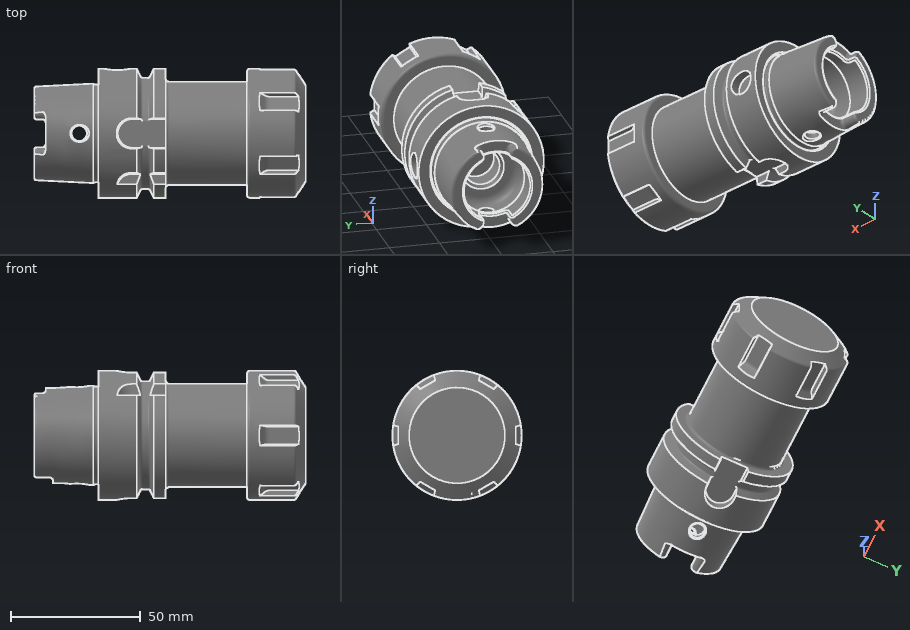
import cadquery as cq
import math


SHANK_LENGTH = 24.8
SHANK_ROOT_RADIUS = 19.25
SHANK_TAPER_END = 2.0
TAPER_RADIUS_SLOPE = 0.05
SHANK_TIP_RADIUS = SHANK_ROOT_RADIUS - TAPER_RADIUS_SLOPE * (SHANK_LENGTH - SHANK_TAPER_END)
SHANK_TIP_ROUND = 1.0
UNDERCUT_RADIUS = 18.9
UNDERCUT_RAMP = 0.7
UNDERCUT_RAMP_FILLET = 0.7
FACE_RELIEF_RADIUS = 19.87
FACE_RELIEF_DEPTH = 0.6
FACE_RELIEF_FILLET = 0.9

FLANGE_RADIUS = 25.0
FLANGE_LENGTH = 26.0
GROOVE_FLOOR_RADIUS = 21.5
GROOVE_START = 14.8
GROOVE_END = 21.4
GROOVE_FLANK_RUN = 1.75
GROOVE_FILLET = 0.9
NECK_RADIUS = 20.0
NECK_END = 57.3
NECK_FILLET = 1.2

MOUTH_RADIUS = 13.2
MOUTH_CHAMFER = 0.7
MOUTH_LENGTH = 9.6
CHAMBER_RADIUS = 15.7
CHAMBER_FLOOR_X = -2.0
CHAMBER_FILLET = 3.9
CENTRE_HOLE_RADIUS = 7.1
CENTRE_HOLE_DEPTH = 10.0
COUNTERSINK_RADIUS = 8.5

NOTCH_HALF_WIDTH = 5.34
NOTCH_STRAIGHT_HEIGHT = 13.7
NOTCH_FLARE_RADIUS = 2.6
NOTCH_FLOOR_FILLET = 1.2
NOTCH_TIP_ROUND = 1.0
UPPER_NOTCH_DEPTH = 4.4
LOWER_NOTCH_DEPTH = 7.2

CROSS_HOLE_X = -7.4
CROSS_HOLE_RADIUS = 2.95
CROSS_HOLE_RIM_RADIUS = 3.65

KEYWAY_FLOOR_HEIGHT = 20.95
KEYWAY_HALF_WIDTH = 5.5
KEYWAY_START = 7.5
SLOT_DRAFT = 7.0
CORNER_SLOT_FLOOR_HEIGHT = 15.5
CORNER_SLOT_WALL_OFFSET = 15.75
CORNER_SLOT_START = 7.0
CORNER_SLOT_END_RADIUS = 5.6
CHIP_HOLE_X = 7.3
CHIP_HOLE_RADIUS = 5.0
CHIP_HOLE_DEPTH = 4.6

NUT_RADIUS = 25.0
NUT_LENGTH = 22.8
NUT_BACK_ROUND = 1.25
NUT_CONE_LENGTH = 4.1
NUT_FRONT_RADIUS = 18.5
NUT_SHOULDER_ROUND = 1.1
NUT_SLOT_COUNT = 6
NUT_FIRST_SLOT_ANGLE = 90.0
NUT_SLOT_START = 4.75
NUT_SLOT_FLOOR = 22.6
NUT_SLOT_RAMP_ANGLE = 40.0
NUT_SLOT_RAMP_FILLET = 2.9
NUT_SLOT_FLOOR_HALF_WIDTH = 3.35
NUT_SLOT_RIM_HALF_WIDTH = 3.95

CLEARANCE = 5.0


def revolve(profile):
    """Turn a closed (x, radius) profile about the X axis."""
    return profile.close().revolve(360, (0, 0, 0), (1, 0, 0))


def ring_edges(solid, x, radius):
    """Select the circular edges at one station along the axis with the given radius."""
    tolerance = 0.01
    picked = []
    for edge in solid.edges("%CIRCLE").vals():
        same_radius = abs(edge.radius() - radius) < tolerance
        same_station = abs(edge.Center().x - x) < tolerance
        if same_radius and same_station:
            picked.append(edge)
    return solid.newObject(picked)


def turned_blank():
    """Outer shape of the holder: shank, flange with gripper groove, and neck."""
    undercut_start = -SHANK_TAPER_END + UNDERCUT_RAMP
    relief_chamfer = FACE_RELIEF_DEPTH
    groove_floor_start = GROOVE_START + GROOVE_FLANK_RUN
    groove_floor_end = GROOVE_END - GROOVE_FLANK_RUN
    blank = revolve(
        cq.Workplane("XY")
        .moveTo(-SHANK_LENGTH, 0)
        .lineTo(-SHANK_LENGTH, SHANK_TIP_RADIUS)
        .lineTo(-SHANK_TAPER_END, SHANK_ROOT_RADIUS)
        .lineTo(undercut_start, UNDERCUT_RADIUS)
        .lineTo(FACE_RELIEF_DEPTH, UNDERCUT_RADIUS)
        .lineTo(FACE_RELIEF_DEPTH, FACE_RELIEF_RADIUS)
        .lineTo(0, FACE_RELIEF_RADIUS + relief_chamfer)
        .lineTo(0, FLANGE_RADIUS)
        .lineTo(GROOVE_START, FLANGE_RADIUS)
        .lineTo(groove_floor_start, GROOVE_FLOOR_RADIUS)
        .lineTo(groove_floor_end, GROOVE_FLOOR_RADIUS)
        .lineTo(GROOVE_END, FLANGE_RADIUS)
        .lineTo(FLANGE_LENGTH, FLANGE_RADIUS)
        .lineTo(FLANGE_LENGTH, NECK_RADIUS)
        .lineTo(NECK_END, NECK_RADIUS)
        .lineTo(NECK_END, 0)
    )
    for groove_corner in (groove_floor_start, groove_floor_end):
        blank = ring_edges(blank, groove_corner, GROOVE_FLOOR_RADIUS).fillet(GROOVE_FILLET)
    blank = ring_edges(blank, undercut_start, UNDERCUT_RADIUS).fillet(UNDERCUT_RAMP_FILLET)
    blank = ring_edges(blank, FACE_RELIEF_DEPTH, UNDERCUT_RADIUS).fillet(FACE_RELIEF_FILLET)
    blank = ring_edges(blank, FLANGE_LENGTH, NECK_RADIUS).fillet(NECK_FILLET)
    return ring_edges(blank, -SHANK_LENGTH, SHANK_TIP_RADIUS).fillet(SHANK_TIP_ROUND)


def bore_tool():
    """Mouth, wider chamber with a rounded floor, and a countersunk centre hole."""
    mouth_end = -SHANK_LENGTH + MOUTH_LENGTH
    countersink_depth = COUNTERSINK_RADIUS - CENTRE_HOLE_RADIUS
    tool = revolve(
        cq.Workplane("XY")
        .moveTo(-SHANK_LENGTH, 0)
        .lineTo(-SHANK_LENGTH, MOUTH_RADIUS)
        .lineTo(mouth_end, MOUTH_RADIUS)
        .lineTo(mouth_end, CHAMBER_RADIUS)
        .lineTo(CHAMBER_FLOOR_X, CHAMBER_RADIUS)
        .lineTo(CHAMBER_FLOOR_X, COUNTERSINK_RADIUS)
        .lineTo(CHAMBER_FLOOR_X + countersink_depth, CENTRE_HOLE_RADIUS)
        .lineTo(CHAMBER_FLOOR_X + CENTRE_HOLE_DEPTH, CENTRE_HOLE_RADIUS)
        .lineTo(CHAMBER_FLOOR_X + CENTRE_HOLE_DEPTH, 0)
    )
    return ring_edges(tool, CHAMBER_FLOOR_X, CHAMBER_RADIUS).fillet(CHAMBER_FILLET)


def notch_tool(depth):
    """Upper notch cutter: its walls curl outward near the shank surface.

    The deep end is rounded, and a slab in front of the shank carries the rounding of the wall tips.
    """
    flare_height = NOTCH_STRAIGHT_HEIGHT + NOTCH_FLARE_RADIUS
    flare_half_width = NOTCH_HALF_WIDTH + NOTCH_FLARE_RADIUS
    outer_half_width = flare_half_width + CLEARANCE
    top = SHANK_ROOT_RADIUS + CLEARANCE
    arc_y = flare_half_width - NOTCH_FLARE_RADIUS * math.cos(math.pi / 4)
    arc_z = NOTCH_STRAIGHT_HEIGHT + NOTCH_FLARE_RADIUS * math.sin(math.pi / 4)
    profile = (
        cq.Workplane("YZ", origin=(-SHANK_LENGTH - CLEARANCE, 0, 0))
        .moveTo(-NOTCH_HALF_WIDTH, 0)
        .lineTo(NOTCH_HALF_WIDTH, 0)
        .lineTo(NOTCH_HALF_WIDTH, NOTCH_STRAIGHT_HEIGHT)
        .threePointArc((arc_y, arc_z), (flare_half_width, flare_height))
        .lineTo(outer_half_width, flare_height)
        .lineTo(outer_half_width, top)
        .lineTo(-outer_half_width, top)
        .lineTo(-outer_half_width, flare_height)
        .lineTo(-flare_half_width, flare_height)
        .threePointArc((-arc_y, arc_z), (-NOTCH_HALF_WIDTH, NOTCH_STRAIGHT_HEIGHT))
        .close()
    )
    prism = profile.extrude(CLEARANCE + depth).faces(">X").edges().fillet(NOTCH_FLOOR_FILLET)
    slab = cq.Workplane("XY").box(CLEARANCE, 2 * outer_half_width, top, centered=(False, True, False))
    tool = prism.union(slab.translate((-SHANK_LENGTH - CLEARANCE, 0, 0)))
    wall_tips = cq.selectors.BoxSelector(
        (-SHANK_LENGTH - NOTCH_TIP_ROUND, -outer_half_width, 0),
        (-SHANK_LENGTH + NOTCH_TIP_ROUND, outer_half_width, top),
    )
    return tool.edges("#X").edges(wall_tips).fillet(NOTCH_TIP_ROUND)


def half_turn(tool):
    """Turn a tool to the opposite side of the axis."""
    return tool.rotate((0, 0, 0), (1, 0, 0), 180)


def cross_hole_tool():
    """Through hole across the shank along Z, chamfered where it leaves the taper."""
    surface = SHANK_ROOT_RADIUS + TAPER_RADIUS_SLOPE * (CROSS_HOLE_X + SHANK_TAPER_END)
    chamfer = CROSS_HOLE_RIM_RADIUS - CROSS_HOLE_RADIUS
    top = surface + chamfer
    return (
        cq.Workplane("XZ", origin=(CROSS_HOLE_X, 0, 0))
        .moveTo(0, -top)
        .lineTo(CROSS_HOLE_RIM_RADIUS + chamfer, -top)
        .lineTo(CROSS_HOLE_RADIUS, chamfer - surface)
        .lineTo(CROSS_HOLE_RADIUS, surface - chamfer)
        .lineTo(CROSS_HOLE_RIM_RADIUS + chamfer, top)
        .lineTo(0, top)
        .close()
        .revolve(360, (0, 0, 0), (0, 1, 0))
    )


def keyway_tool():
    """Round-ended keyway with drafted walls, open toward the neck."""
    straight_start = KEYWAY_START + KEYWAY_HALF_WIDTH
    open_end = FLANGE_LENGTH + CLEARANCE
    return (
        cq.Workplane("XY", origin=(0, 0, KEYWAY_FLOOR_HEIGHT))
        .moveTo(open_end, -KEYWAY_HALF_WIDTH)
        .lineTo(open_end, KEYWAY_HALF_WIDTH)
        .lineTo(straight_start, KEYWAY_HALF_WIDTH)
        .threePointArc((KEYWAY_START, 0), (straight_start, -KEYWAY_HALF_WIDTH))
        .close()
        .extrude(FLANGE_RADIUS - KEYWAY_FLOOR_HEIGHT + CLEARANCE, taper=-SLOT_DRAFT)
    )


def corner_slot_tool():
    """Drafted slot across the -Y, +Z edge of the flange, with a flat floor and a rounded end."""
    wall = -CORNER_SLOT_WALL_OFFSET
    far_side = wall - 2 * CORNER_SLOT_END_RADIUS
    straight_start = CORNER_SLOT_START + CORNER_SLOT_END_RADIUS
    middle = (wall + far_side) / 2
    open_end = FLANGE_LENGTH + CLEARANCE
    return (
        cq.Workplane("XY", origin=(0, 0, CORNER_SLOT_FLOOR_HEIGHT))
        .moveTo(open_end, wall)
        .lineTo(straight_start, wall)
        .threePointArc((CORNER_SLOT_START, middle), (straight_start, far_side))
        .lineTo(open_end, far_side)
        .close()
        .extrude(FLANGE_RADIUS - CORNER_SLOT_FLOOR_HEIGHT + CLEARANCE, taper=-SLOT_DRAFT)
    )


def chip_hole_tool():
    """Blind radial hole in the +Y side of the flange."""
    return (
        cq.Workplane("XZ", origin=(CHIP_HOLE_X, FLANGE_RADIUS + CLEARANCE, 0))
        .circle(CHIP_HOLE_RADIUS)
        .extrude(CLEARANCE + CHIP_HOLE_DEPTH)
    )


def chamfer_mouth(holder):
    """Break the inner edge of the shank tip, round the mouth and along both notches."""
    tolerance = 0.01
    deepest_notch = -SHANK_LENGTH + LOWER_NOTCH_DEPTH
    picked = []
    for edge in holder.edges().vals():
        radii = [math.hypot(point.y, point.z) for point in edge.positions([0, 0.5, 1])]
        on_mouth_wall = all(abs(radius - MOUTH_RADIUS) < tolerance for radius in radii)
        within_notches = edge.BoundingBox().xmax < deepest_notch + tolerance
        if on_mouth_wall and within_notches:
            picked.append(edge)
    return holder.newObject(picked).chamfer(MOUTH_CHAMFER)


def make_holder():
    holder = turned_blank().cut(bore_tool())
    holder = holder.cut(notch_tool(UPPER_NOTCH_DEPTH))
    holder = holder.cut(half_turn(notch_tool(LOWER_NOTCH_DEPTH)))
    holder = chamfer_mouth(holder)
    holder = holder.cut(cross_hole_tool())
    holder = holder.cut(keyway_tool())
    holder = holder.cut(half_turn(keyway_tool()))
    holder = holder.cut(corner_slot_tool())
    return holder.cut(chip_hole_tool())


def nut_slot_tool():
    """Spanner slot at the top of the nut: sloping walls, ramped end, open toward the front."""
    slot_start = NECK_END + NUT_SLOT_START
    slot_end = NECK_END + NUT_LENGTH + CLEARANCE
    top = NUT_RADIUS + CLEARANCE
    ramp_slope = math.tan(math.radians(NUT_SLOT_RAMP_ANGLE))
    ramp_foot = slot_start + (NUT_RADIUS - NUT_SLOT_FLOOR) / ramp_slope
    ramp_top = slot_start - CLEARANCE / ramp_slope
    rim_height = math.sqrt(NUT_RADIUS**2 - NUT_SLOT_RIM_HALF_WIDTH**2)
    wall_slope = (NUT_SLOT_RIM_HALF_WIDTH - NUT_SLOT_FLOOR_HALF_WIDTH) / (rim_height - NUT_SLOT_FLOOR)
    top_half_width = NUT_SLOT_FLOOR_HALF_WIDTH + wall_slope * (top - NUT_SLOT_FLOOR)
    lengthwise = (
        cq.Workplane("XZ")
        .moveTo(ramp_top, top)
        .lineTo(ramp_foot, NUT_SLOT_FLOOR)
        .lineTo(slot_end, NUT_SLOT_FLOOR)
        .lineTo(slot_end, top)
        .close()
        .extrude(top_half_width, both=True)
        .faces("<Z")
        .edges("<X")
        .fillet(NUT_SLOT_RAMP_FILLET)
    )
    crosswise = (
        cq.Workplane("YZ", origin=(NECK_END, 0, 0))
        .moveTo(-NUT_SLOT_FLOOR_HALF_WIDTH, NUT_SLOT_FLOOR)
        .lineTo(NUT_SLOT_FLOOR_HALF_WIDTH, NUT_SLOT_FLOOR)
        .lineTo(top_half_width, top)
        .lineTo(-top_half_width, top)
        .close()
        .extrude(slot_end - NECK_END)
    )
    return lengthwise.intersect(crosswise)


def make_nut():
    """Clamping nut seated on the end of the neck, with spanner slots around its rim."""
    front = NECK_END + NUT_LENGTH
    shoulder = front - NUT_CONE_LENGTH
    nut = revolve(
        cq.Workplane("XY")
        .moveTo(NECK_END, 0)
        .lineTo(NECK_END, NUT_RADIUS)
        .lineTo(shoulder, NUT_RADIUS)
        .lineTo(front, NUT_FRONT_RADIUS)
        .lineTo(front, 0)
    )
    nut = ring_edges(nut, NECK_END, NUT_RADIUS).fillet(NUT_BACK_ROUND)
    nut = ring_edges(nut, shoulder, NUT_RADIUS).fillet(NUT_SHOULDER_ROUND)
    slot = nut_slot_tool()
    for index in range(NUT_SLOT_COUNT):
        angle = NUT_FIRST_SLOT_ANGLE + index * 360.0 / NUT_SLOT_COUNT
        nut = nut.cut(slot.rotate((0, 0, 0), (1, 0, 0), angle))
    return nut


holder = make_holder()
nut = make_nut()
result = cq.Compound.makeCompound([holder.val(), nut.val()])